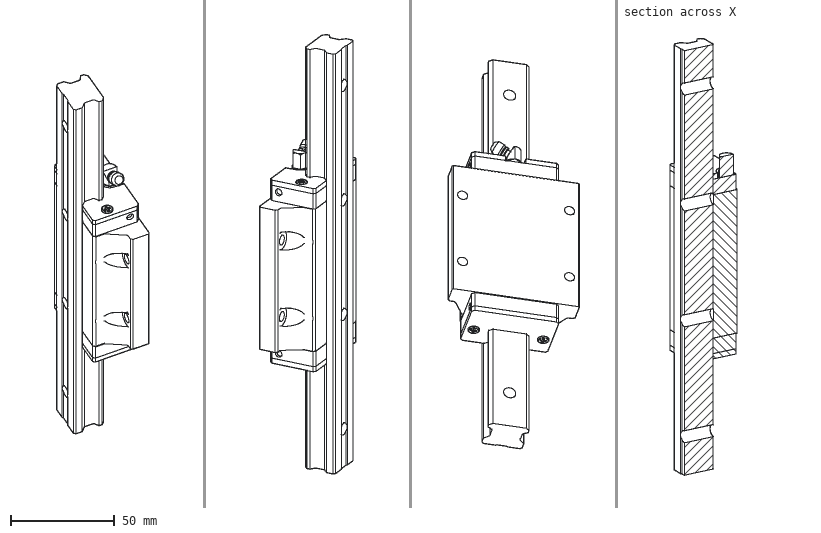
import cadquery as cq
import math


RAIL_LENGTH = 220.0
RAIL_HALF_WIDTH = 10.0
RAIL_TOP = 16.7
RAIL_BEVEL_WIDTH = 1.7
RAIL_BEVEL_DEPTH = 1.6
RAIL_SHOULDER_BOTTOM = 13.4
RAIL_WAIST_HALF_WIDTH = 7.5
RAIL_WAIST_TOP = 11.8
RAIL_WAIST_BOTTOM = 6.8
RAIL_WAIST_FILLET = 1.2
RAIL_FOOT_TOP = 4.3
RAIL_FOOT_CHAMFER = 1.0
RELIEF_OUTER_HALF_WIDTH = 3.0
RELIEF_INNER_HALF_WIDTH = 2.3
RELIEF_DEPTH = 0.4
RAIL_HOLE_DIAMETER = 6.0
RAIL_HOLE_PITCH = 60.0
RAIL_HOLE_COUNT = 4

CARRIAGE_Z = -5.0
BLOCK_LENGTH = 74.6
BLOCK_TOP = 30.0
CARRIAGE_BOTTOM = 4.6
FLANGE_HALF_WIDTH = 31.5
FLANGE_BOTTOM = 20.0
FLANGE_TOP_CHAMFER = 0.6
FLANGE_BOTTOM_CHAMFER = 1.0
SLOPE_TOP_X = 27.8
BODY_HALF_WIDTH = 22.0
SLOPE_BOTTOM = 10.4
SLOPE_FILLET = 1.5
BODY_CHAMFER = 1.2
MOUNT_HOLE_DIAMETER = 4.92
MOUNT_HOLE_SPACING_X = 53.0
MOUNT_HOLE_SPACING_Z = 40.0
SPOT_FACE_DIAMETER = 9.5

CAP_LENGTH = 8.0
SEAL_THICKNESS = 2.7
CAP_HALF_WIDTH = 21.6
CAP_TOP = 29.4
CAP_BOTTOM_CHAMFER = 1.0
CAP_TOP_CHAMFER = 1.3
PORT_DIAMETER = 3.5
PORT_DEPTH = 1.5
PORT_Y = 24.4
PORT_FROM_BLOCK = 5.0
SCREW_X = 17.2
SCREW_Y = 14.2
SCREW_HEAD_DIAMETER = 5.7
SCREW_HEAD_HEIGHT = 0.6
SCREW_HEAD_CHAMFER = 0.5
RECESS_LENGTH = 3.0
RECESS_WIDTH = 0.8
RECESS_DEPTH = 0.5

NIPPLE_Y = 24.1
NIPPLE_SLOT_RADIUS = 5.0
STEM_DIAMETER = 8.0
STEM_TOP = 51.0
STEM_CHAMFER = 0.5
SLANT_START_X = 0.3
ELBOW_ANGLE = 30.0
SPOUT_ORIGIN_X = 2.1
SPOUT_ORIGIN_Z = 47.6
SPOUT_PROFILE = [
    (-1.0, 4.2),
    (1.8, 4.2),
    (2.0, 6.0),
    (3.0, 6.0),
    (3.6, 5.0),
    (4.4, 6.5),
    (7.6, 6.5),
    (9.2, 4.2),
]

BLOCK_Z0 = CARRIAGE_Z - BLOCK_LENGTH / 2
BLOCK_Z1 = CARRIAGE_Z + BLOCK_LENGTH / 2
CAP_Z1 = BLOCK_Z1 + CAP_LENGTH
SEAL_Z1 = CAP_Z1 + SEAL_THICKNESS


def mirrored_prism(right_half, z0, length):
    """Extrude along Z an outline given by its +X half, listed from bottom to top."""
    left_half = [(-x, y) for x, y in reversed(right_half)]
    return cq.Workplane("XY", origin=(0, 0, z0)).polyline(right_half + left_half).close().extrude(length)


def upright_cylinder(x, z, diameter, y0, y1):
    """Cylinder along Y between two heights."""
    return cq.Workplane("XZ", origin=(x, y0, z)).circle(diameter / 2).extrude(y0 - y1)


def fillet_long_edge(body, point, radius):
    """Round the edge along Z that lies nearest to a point."""
    nearest = cq.selectors.NearestToPointSelector(point)
    return body.edges("|Z").edges(nearest).fillet(radius)


def rail_envelope():
    """Rail section without the relief groove and holes; also the shape of the carriage's channel."""
    right_half = [
        (RAIL_HALF_WIDTH - RAIL_FOOT_CHAMFER, 0),
        (RAIL_HALF_WIDTH, RAIL_FOOT_CHAMFER),
        (RAIL_HALF_WIDTH, RAIL_FOOT_TOP),
        (RAIL_WAIST_HALF_WIDTH, RAIL_WAIST_BOTTOM),
        (RAIL_WAIST_HALF_WIDTH, RAIL_WAIST_TOP),
        (RAIL_HALF_WIDTH, RAIL_SHOULDER_BOTTOM),
        (RAIL_HALF_WIDTH, RAIL_TOP - RAIL_BEVEL_DEPTH),
        (RAIL_HALF_WIDTH - RAIL_BEVEL_WIDTH, RAIL_TOP),
    ]
    envelope = mirrored_prism(right_half, -RAIL_LENGTH / 2, RAIL_LENGTH)
    for side in (-1, 1):
        waist_corner = (side * RAIL_WAIST_HALF_WIDTH, RAIL_WAIST_TOP, 0)
        envelope = fillet_long_edge(envelope, waist_corner, RAIL_WAIST_FILLET)
    return envelope


def make_rail():
    relief_half = [(RELIEF_OUTER_HALF_WIDTH, 0), (RELIEF_INNER_HALF_WIDTH, RELIEF_DEPTH)]
    rail = rail_envelope().cut(mirrored_prism(relief_half, -RAIL_LENGTH / 2, RAIL_LENGTH))
    for i in range(RAIL_HOLE_COUNT):
        z = (i - (RAIL_HOLE_COUNT - 1) / 2) * RAIL_HOLE_PITCH
        rail = rail.cut(upright_cylinder(0, z, RAIL_HOLE_DIAMETER, 0, RAIL_TOP))
    return rail


def make_block():
    right_half = [
        (BODY_HALF_WIDTH - BODY_CHAMFER, CARRIAGE_BOTTOM),
        (BODY_HALF_WIDTH, CARRIAGE_BOTTOM + BODY_CHAMFER),
        (BODY_HALF_WIDTH, SLOPE_BOTTOM),
        (SLOPE_TOP_X, FLANGE_BOTTOM),
        (FLANGE_HALF_WIDTH - FLANGE_BOTTOM_CHAMFER, FLANGE_BOTTOM),
        (FLANGE_HALF_WIDTH, FLANGE_BOTTOM + FLANGE_BOTTOM_CHAMFER),
        (FLANGE_HALF_WIDTH, BLOCK_TOP - FLANGE_TOP_CHAMFER),
        (FLANGE_HALF_WIDTH - FLANGE_TOP_CHAMFER, BLOCK_TOP),
    ]
    block = mirrored_prism(right_half, BLOCK_Z0, BLOCK_LENGTH)

    for side in (-1, 1):
        for x, y in ((BODY_HALF_WIDTH, SLOPE_BOTTOM), (SLOPE_TOP_X, FLANGE_BOTTOM)):
            block = fillet_long_edge(block, (side * x, y, CARRIAGE_Z), SLOPE_FILLET)

    for side_x in (-1, 1):
        for side_z in (-1, 1):
            x = side_x * MOUNT_HOLE_SPACING_X / 2
            z = CARRIAGE_Z + side_z * MOUNT_HOLE_SPACING_Z / 2
            block = block.cut(upright_cylinder(x, z, MOUNT_HOLE_DIAMETER, FLANGE_BOTTOM, BLOCK_TOP))
            block = block.cut(upright_cylinder(x, z, SPOT_FACE_DIAMETER, CARRIAGE_BOTTOM, FLANGE_BOTTOM))
    return block.cut(rail_envelope())


def end_plate(z0, thickness):
    """Chamfered plate that closely follows the rail; the blank of the end caps and seals."""
    right_half = [
        (CAP_HALF_WIDTH - CAP_BOTTOM_CHAMFER, CARRIAGE_BOTTOM),
        (CAP_HALF_WIDTH, CARRIAGE_BOTTOM + CAP_BOTTOM_CHAMFER),
        (CAP_HALF_WIDTH, CAP_TOP - CAP_TOP_CHAMFER),
        (CAP_HALF_WIDTH - CAP_TOP_CHAMFER, CAP_TOP),
    ]
    return mirrored_prism(right_half, z0, thickness).cut(rail_envelope())


def make_upper_cap():
    cap = end_plate(BLOCK_Z1, CAP_LENGTH)
    for side in (-1, 1):
        port = (
            cq.Workplane("YZ", origin=(side * CAP_HALF_WIDTH, PORT_Y, BLOCK_Z1 + PORT_FROM_BLOCK))
            .circle(PORT_DIAMETER / 2)
            .extrude(-side * PORT_DEPTH)
        )
        cap = cap.cut(port)
    return cap


def make_upper_seal():
    """Seal plate carrying the heads of its two cross-recessed screws."""
    seal = end_plate(CAP_Z1, SEAL_THICKNESS)
    for side in (-1, 1):
        head = (
            cq.Workplane("XY", origin=(side * SCREW_X, SCREW_Y, SEAL_Z1))
            .circle(SCREW_HEAD_DIAMETER / 2)
            .extrude(SCREW_HEAD_HEIGHT)
            .faces(">Z")
            .chamfer(SCREW_HEAD_CHAMFER)
        )
        recess_plane = head.faces(">Z").workplane()
        recess = recess_plane.rect(RECESS_LENGTH, RECESS_WIDTH).extrude(-RECESS_DEPTH, combine=False)
        recess = recess.union(
            recess_plane.rect(RECESS_WIDTH, RECESS_LENGTH).extrude(-RECESS_DEPTH, combine=False)
        )
        seal = seal.union(head).cut(recess)
    return seal


def cut_nipple_slot(seal):
    """Open a round-bottomed slot for the nipple from the top edge of the upper seal."""
    round_end = (
        cq.Workplane("XY", origin=(0, NIPPLE_Y, CAP_Z1)).circle(NIPPLE_SLOT_RADIUS).extrude(SEAL_THICKNESS)
    )
    opening = cq.Workplane("XY").box(
        2 * NIPPLE_SLOT_RADIUS, CAP_TOP - NIPPLE_Y, SEAL_THICKNESS, centered=(True, False, False)
    )
    return seal.cut(round_end).cut(opening.translate((0, NIPPLE_Y, CAP_Z1)))


def make_nipple():
    base = cq.Workplane("XY", origin=(0, NIPPLE_Y, CAP_Z1)).circle(STEM_DIAMETER / 2).extrude(SEAL_THICKNESS)

    stem_height = STEM_TOP - SEAL_Z1
    hexagon = cq.Workplane("XY").polygon(6, STEM_DIAMETER).extrude(stem_height)
    hexagon = hexagon.rotate((0, 0, 0), (0, 0, 1), 90)
    rounding = cq.Workplane("XY").circle(STEM_DIAMETER / 2).extrude(stem_height)
    rounding = rounding.faces(">Z").chamfer(STEM_CHAMFER)
    stem = hexagon.intersect(rounding).translate((0, NIPPLE_Y, SEAL_Z1))

    slant_run = STEM_DIAMETER / 2
    slant_drop = slant_run / math.tan(math.radians(ELBOW_ANGLE))
    wedge = (
        cq.Workplane("XZ", origin=(0, NIPPLE_Y, 0))
        .moveTo(SLANT_START_X, STEM_TOP)
        .lineTo(SLANT_START_X + slant_run, STEM_TOP)
        .lineTo(SLANT_START_X + slant_run, STEM_TOP - slant_drop)
        .close()
        .extrude(STEM_DIAMETER, both=True)
    )

    outline = [(distance, diameter / 2) for distance, diameter in SPOUT_PROFILE]
    spout = (
        cq.Workplane("XY")
        .moveTo(outline[0][0], 0)
        .polyline(outline, includeCurrent=True)
        .lineTo(outline[-1][0], 0)
        .close()
        .revolve(360, (0, 0, 0), (1, 0, 0))
        .rotate((0, 0, 0), (0, 1, 0), -ELBOW_ANGLE)
        .translate((SPOUT_ORIGIN_X, NIPPLE_Y, SPOUT_ORIGIN_Z))
    )
    return base.union(stem.cut(wedge)).union(spout)


def lower_copy(body):
    """Mirror a body from the upper end of the carriage to the lower end."""
    return body.mirror("XY", (0, 0, CARRIAGE_Z))


rail = make_rail()
block = make_block()
upper_cap = make_upper_cap()
lower_cap = lower_copy(upper_cap)
plain_seal = make_upper_seal()
upper_seal = cut_nipple_slot(plain_seal)
lower_seal = lower_copy(plain_seal)
nipple = make_nipple()

bodies = [rail, block, upper_cap, lower_cap, upper_seal, lower_seal, nipple]
result = cq.Compound.makeCompound([body.val() for body in bodies])